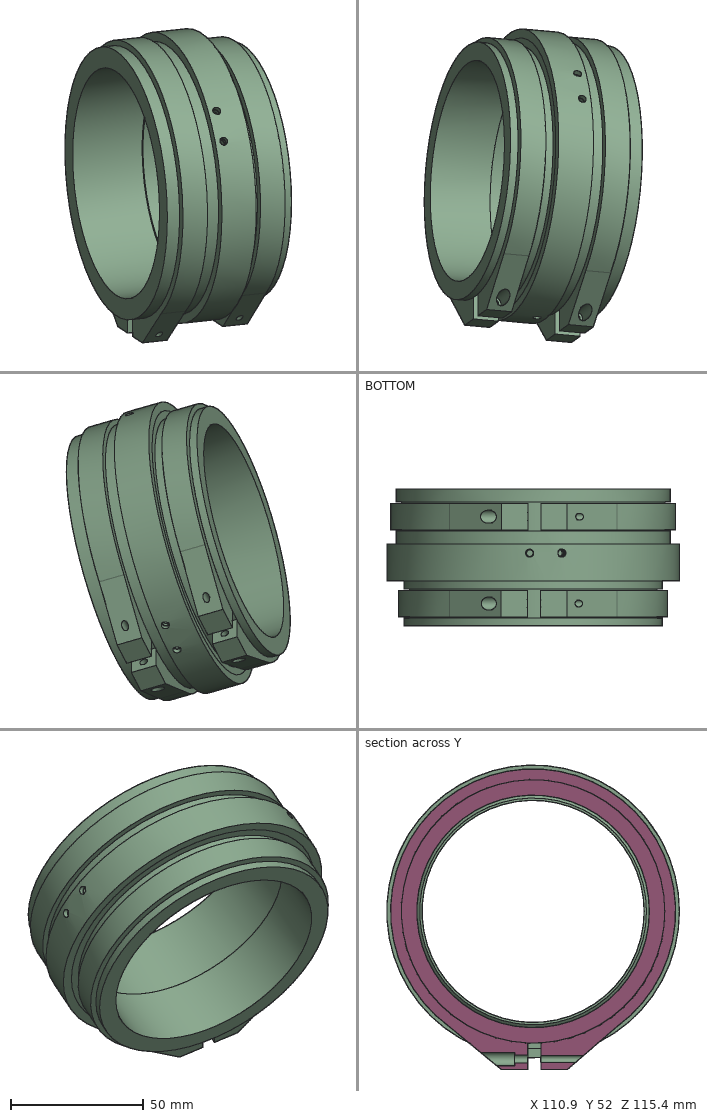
import cadquery as cq
import math

length = 52.0
height = 115.4

collar_front = 20.9
collar_width = 14.0
collar_back = collar_front + collar_width
front_rim_width = 5.0
rear_rim_width = 3.0
groove_width = 11.0
clamp_width = 10.0
front_clamp_gap = 0.6
rear_clamp_gap = 0.5
front_groove_start = front_rim_width
rear_groove_start = length - rear_rim_width - groove_width
front_clamp_start = front_groove_start + front_clamp_gap
rear_clamp_start = length - rear_rim_width - rear_clamp_gap - clamp_width

collar_diameter = 110.9
front_diameter = 104.0
rear_diameter = 98.0
groove_depth = 2.02
front_groove_diameter = front_diameter - 2 * groove_depth
rear_groove_diameter = rear_diameter - 2 * groove_depth
clamp_rise = 2.02
front_clamp_diameter = front_diameter + 2 * clamp_rise
rear_clamp_diameter = rear_diameter + 2 * clamp_rise
front_bore = 88.0
rear_bore = 84.0

nose_start = 27.9
nose_chamfer = 1.0

front_lug_drop = height - collar_diameter / 2
rear_lug_drop = front_lug_drop - 3.0
front_lug_offset = 0.5
rear_lug_offset = 0.3
lug_width = 24.9
slot_width = 5.0
flank_half_width = 31.7

screw_height = 4.0
clearance_diameter = 3.0
tapped_diameter = 2.5
head_diameter = 5.0
head_wall = 5.0

hole_setback = 3.5
pair_count = 3
first_pair_angle = 35.0
pair_half_angle = 6.4
clearance_depth = 2.0
hole_depth = 6.0
hole_angles = [
    first_pair_angle + pair * 360 / pair_count + side * pair_half_angle
    for pair in range(pair_count)
    for side in (-1, 1)
]


def disc(diameter, start, width):
    """Solid cylinder on the Y axis."""
    return cq.Workplane("XZ", origin=(0, start, 0)).circle(diameter / 2).extrude(-width)


def ring(outer, inner, start, width):
    """Hollow cylinder on the Y axis."""
    return disc(outer, start, width).cut(disc(inner, start, width))


def radial_drill(diameter, depth, angle):
    """Cutter that enters the collar radially to the given depth."""
    outward = cq.Vector(math.cos(math.radians(angle)), 0, math.sin(math.radians(angle)))
    floor = outward * (collar_diameter / 2 - depth) + cq.Vector(0, collar_front + hole_setback, 0)
    return cq.Workplane(cq.Solid.makeCylinder(diameter / 2, 2 * depth, floor, outward))


def make_front_tube():
    tube = ring(front_diameter, front_bore, 0, collar_back)
    tube = tube.cut(ring(front_diameter, front_groove_diameter, front_groove_start, groove_width))
    for angle in hole_angles:
        tube = tube.cut(radial_drill(tapped_diameter, hole_depth, angle))
    return tube


def make_rear_tube():
    tube = disc(rear_diameter, collar_back, length - collar_back)
    tube = tube.cut(ring(rear_diameter, rear_groove_diameter, rear_groove_start, groove_width))
    nose = disc(front_bore, nose_start, collar_back - nose_start).faces("<Y").chamfer(nose_chamfer)
    return tube.union(nose).cut(disc(rear_bore, nose_start, length - nose_start))


def make_collar():
    collar = ring(collar_diameter, front_diameter, collar_front, collar_width)
    for angle in hole_angles:
        collar = collar.cut(radial_drill(clearance_diameter, clearance_depth, angle))
        collar = collar.cut(radial_drill(tapped_diameter, hole_depth, angle))
    return collar


def make_clamp(outer, inner, drop, lug_offset, start):
    flank_top = -math.sqrt((outer / 2) ** 2 - flank_half_width**2)
    lug = (
        cq.Workplane("XZ", origin=(0, start, 0))
        .polyline([
            (0, 0),
            (-flank_half_width, flank_top),
            (lug_offset - lug_width / 2, -drop),
            (lug_offset + lug_width / 2, -drop),
            (flank_half_width, flank_top),
        ])
        .close()
        .extrude(-clamp_width)
    )
    clamp = disc(outer, start, clamp_width).union(lug).cut(disc(inner, start, clamp_width))

    slot = (
        cq.Workplane("XY", origin=(lug_offset, start, -drop))
        .box(slot_width, clamp_width, drop, centered=(True, False, False))
    )

    slot_left = lug_offset - slot_width / 2

    def screw_bore(diameter, x, reach):
        center = (x, start + clamp_width / 2, -drop + screw_height)
        return cq.Workplane("YZ", origin=center).circle(diameter / 2).extrude(reach)

    clearance = screw_bore(clearance_diameter, slot_left, -flank_half_width)
    head = screw_bore(head_diameter, slot_left - head_wall, -flank_half_width)
    tapped = screw_bore(tapped_diameter, slot_left, flank_half_width)
    return clamp.cut(slot).cut(clearance).cut(head).cut(tapped)


front_tube = make_front_tube()
rear_tube = make_rear_tube()
collar = make_collar()

clamp_sizes = [
    (front_clamp_diameter, front_groove_diameter, front_lug_drop, front_lug_offset, front_clamp_start),
    (rear_clamp_diameter, rear_groove_diameter, rear_lug_drop, rear_lug_offset, rear_clamp_start),
]
clamps = [make_clamp(*sizes) for sizes in clamp_sizes]

result = cq.Compound.makeCompound([
    front_tube.val(),
    rear_tube.val(),
    collar.val(),
    *[clamp.val() for clamp in clamps],
])